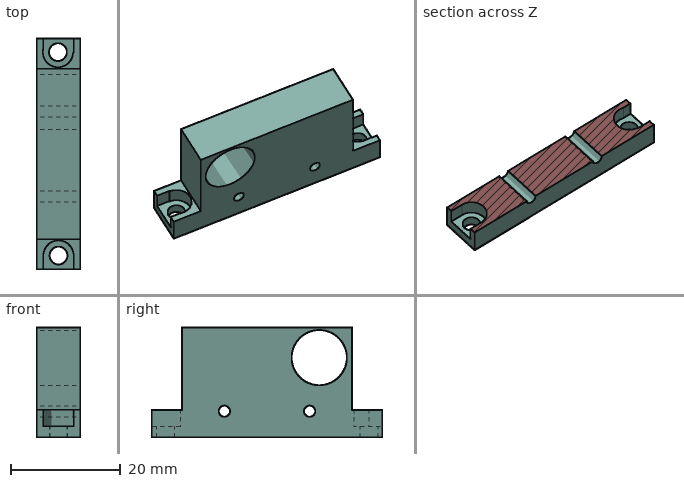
import cadquery as cq

width = 8.0
base_length = 42.0
base_height = 5.0
body_length = 31.0
total_height = 20.0

bore_diameter = 10.0
bore_y = 9.5
bore_z = 14.5
pin_diameter = 2.0
pin_y = body_length / 4
pin_z = 4.75

screw_diameter = 3.2
seat_width = 5.5
seat_floor = 2.0
screw_inset = 2.5
rear_screw_x = -0.1
front_screw_x = 0.0
seat_depth = base_height - seat_floor
screw_y = base_length / 2 - screw_inset


def make_block():
    base = cq.Workplane("XY").box(width, base_length, base_height, centered=(True, True, False))
    body = cq.Workplane("XY").box(width, body_length, total_height, centered=(True, True, False))
    return base.union(body)


def cross_hole(diameter, y, z):
    """Cylinder along X through the full width."""
    side_plane = cq.Workplane("YZ").workplane(offset=-width / 2)
    return side_plane.center(y, z).circle(diameter / 2).extrude(width)


def screw_seat(x, end):
    """Screw hole and counterbore at x, with a centred slot to the end face; end is +1 or -1 along Y."""
    y = end * screw_y
    hole = cq.Workplane("XY").center(x, y).circle(screw_diameter / 2).extrude(base_height)
    seat_plane = cq.Workplane("XY").workplane(offset=seat_floor)
    counterbore = seat_plane.center(x, y).circle(seat_width / 2).extrude(seat_depth)
    slot_center_y = y + end * screw_inset / 2
    slot = seat_plane.center(0, slot_center_y).rect(seat_width, screw_inset).extrude(seat_depth)
    return hole.union(counterbore).union(slot)


result = make_block()
result = result.cut(cross_hole(bore_diameter, bore_y, bore_z))
for side, screw_x in ((-1, front_screw_x), (1, rear_screw_x)):
    result = result.cut(cross_hole(pin_diameter, side * pin_y, pin_z))
    result = result.cut(screw_seat(screw_x, side))